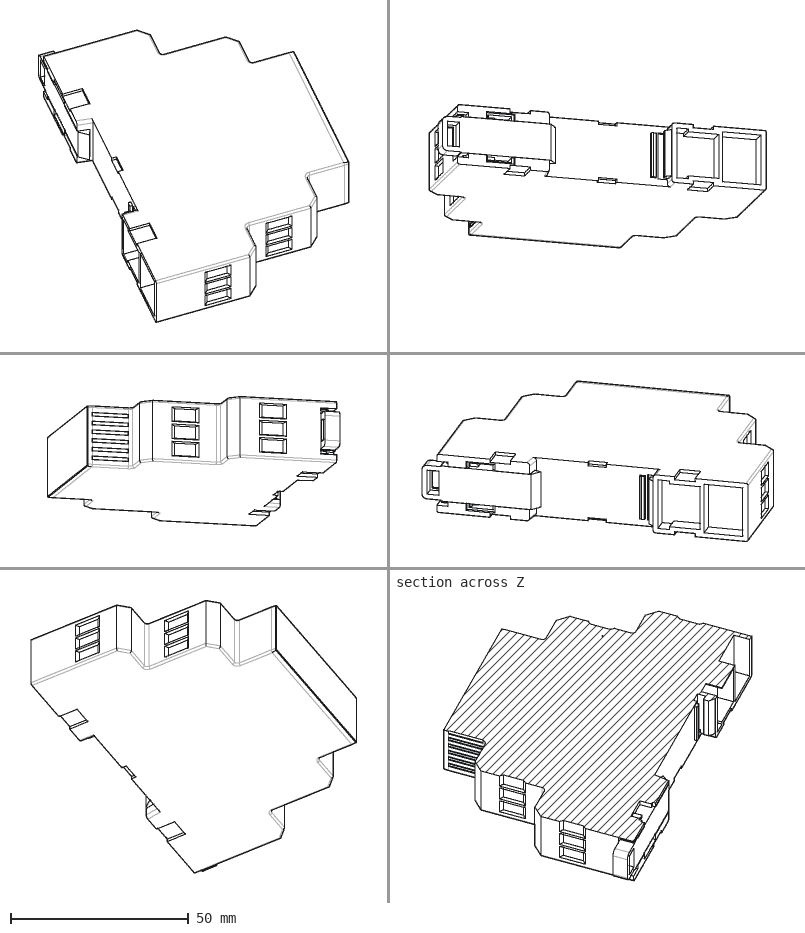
import cadquery as cq

THICKNESS = 17.5
HALF_Z = THICKNESS / 2
EPS = 1.0

HEIGHT = 66.5
BASE_HALF, MIDDLE_HALF, TOP_HALF = 45.25, 34.1, 22.4
LOWER_SHOULDER, UPPER_SHOULDER = 31.05, 53.55
SHOULDER_CHAMFER = 3.0
STEP_FILLET = 1.0
EDGE_FILLET = 0.6
CAP_HEIGHT = 1.5
CAP_TAPER = 0.1
CAP_CHAMFER = 0.2
CAP_BASE = HEIGHT - CAP_HEIGHT

GAP_DEPTH = 4.5
LEFT_FOOT_BOTTOM, LEFT_FOOT_TOP = -18.25, -17.5
RIGHT_FOOT = 17.55
FOOT_FILLET = 0.9

NOTCH_DEPTH = 0.95
NOTCH_TOP = 5.95
FOOT_NOTCH_X, FOOT_NOTCH_WIDTH = 26.85, 5.95
MIDDLE_NOTCH_X, MIDDLE_NOTCH_WIDTH = 0.1, 5.3

WINDOW_LENGTH_Y, WINDOW_FLOOR_Y = 7.8, 6.1
WINDOW_LENGTH_Z, WINDOW_FLOOR_Z = 4.2, 3.5
WINDOW_DEPTH = 0.8
WINDOW_PITCH = 4.95
LOWER_WINDOW_Y, UPPER_WINDOW_Y = 18.5, 41.0

GROOVE_COUNT = 6
GROOVE_PITCH = 2.5
GROOVE_WIDTH = 1.0
GROOVE_DEPTH = 0.3

POCKET_DEPTH = 4.8
POCKET_HALF_Z = 7.3
NARROW_HALF_Z = 6.45
INNER_POCKET_X = (19.0, 31.3)
INNER_POCKET_STEP_X = 22.4
OUTER_POCKET_X = (32.45, 43.65)

HOOK_HALF_Z = 6.75
HOOK_TIP_X = 16.0
HOOK_TOP_Y = 3.15
HOOK_BOTTOM_Y = 0.2
HOOK_TIP_BOTTOM_Y = 1.5
HOOK_NOSE_CHAMFER = 0.25
RELIEF_X, RELIEF_DEPTH = 14.85, 1.0
RIB_X = (12.7, 14.2)
RIB_HEIGHT = 0.85
RIB_FLAT_X = (13.25, 13.85)
RIB_LEFT_RISE, RIB_RIGHT_RISE = 0.2, 0.1

CLIP_BOTTOM = 0.15
CLIP_HALF_Z = 5.3
CLIP_NOSE_X = -17.85
HEAD_LEFT, HEAD_RIGHT = -49.65, -44.15
HEAD_HALF_Z = 5.05
HEAD_FILLET = 1.5
EYE_X, EYE_HALF_Z, EYE_DEPTH = (-48.1, -44.7), 3.6, 3.4
EYE_HOLE_X, EYE_HOLE_HALF_Z = (-47.65, -45.45), 3.05
EYE_HOLE_CHAMFER = 0.3
CLIP_HOOK_TIP = (-15.75, 2.75)
CLIP_HOOK_ROOT = (-17.6, 3.65)

ENTRY_RIM_X = -44.5
ENTRY_LOWER_X, ENTRY_LOWER_HALF_Z, ENTRY_LOWER_TOP = -42.0, 6.6, 2.4
ENTRY_UPPER_X, ENTRY_UPPER_HALF_Z, ENTRY_TOP = -42.85, 6.3, 4.6
SLOT_RIM_X, SLOT_RIM_HALF_Z, SLOT_RIM_DEPTH = (-36.75, -28.35), 7.35, 1.0
SLOT_X, SLOT_HALF_Z, SLOT_DEPTH = (-36.15, -29.1), 6.75, 4.5
LUG_END_X, LUG_HALF_Z = -33.8, 6.2
LUG_STEM_X = -35.6
LUG_BOTTOM = 2.0


def block(x0, x1, y0, y1, half_z):
    """Box between the given X and Y limits, symmetric about Z = 0."""
    return cq.Workplane("XY").box(x1 - x0, y1 - y0, 2 * half_z).translate(((x0 + x1) / 2, (y0 + y1) / 2, 0))


def prism(points, half_z):
    """Closed XY polygon extruded symmetrically about Z = 0."""
    return cq.Workplane("XY").polyline(points).close().extrude(half_z, both=True)


def outline_side(side):
    """Stepped outline from foot to cap on one side (-1 left, +1 right)."""
    return [
        (side * BASE_HALF, 0),
        (side * BASE_HALF, LOWER_SHOULDER - SHOULDER_CHAMFER),
        (side * (BASE_HALF - SHOULDER_CHAMFER), LOWER_SHOULDER),
        (side * MIDDLE_HALF, LOWER_SHOULDER),
        (side * MIDDLE_HALF, UPPER_SHOULDER - SHOULDER_CHAMFER),
        (side * (MIDDLE_HALF - SHOULDER_CHAMFER), UPPER_SHOULDER),
        (side * TOP_HALF, UPPER_SHOULDER),
        (side * TOP_HALF, CAP_BASE),
        (side * (TOP_HALF - CAP_TAPER), HEIGHT),
    ]


def cap_taper_cuts():
    """Thin wedges that taper the cap on both side faces."""
    wedge = (
        cq.Workplane("YZ")
        .polyline([(CAP_BASE, HALF_Z), (HEIGHT, HALF_Z - CAP_TAPER), (HEIGHT, HALF_Z)])
        .close()
        .extrude(TOP_HALF, both=True)
    )
    return wedge.union(wedge.mirror("XY"))


def housing_blank():
    """Stepped housing with rounded edges, tapered cap and the rail gap, without openings."""
    points = outline_side(-1) + outline_side(1)[::-1]
    blank = prism(points, HALF_Z)
    for half, shoulder in ((MIDDLE_HALF, LOWER_SHOULDER), (TOP_HALF, UPPER_SHOULDER)):
        for side in (-1, 1):
            corner = cq.selectors.NearestToPointSelector((side * half, shoulder, 0))
            blank = blank.edges("|Z").edges(corner).fillet(STEP_FILLET)
    rim_box = cq.selectors.BoxSelector(
        (-HEIGHT, EPS, -THICKNESS),
        (HEIGHT, HEIGHT - EPS, THICKNESS),
    )
    blank = blank.faces("<Z or >Z").edges().edges(rim_box).fillet(EDGE_FILLET)
    blank = blank.cut(cap_taper_cuts())
    blank = blank.faces(">Y").edges().chamfer(CAP_CHAMFER)
    gap = prism(
        [
            (LEFT_FOOT_BOTTOM, 0),
            (LEFT_FOOT_TOP, GAP_DEPTH),
            (RIGHT_FOOT, GAP_DEPTH),
            (RIGHT_FOOT, 0),
        ],
        THICKNESS,
    )
    blank = blank.cut(gap)
    middle_y = GAP_DEPTH / 2
    for x in ((LEFT_FOOT_BOTTOM + LEFT_FOOT_TOP) / 2, RIGHT_FOOT):
        for z in (-HALF_Z, HALF_Z):
            foot_edge = cq.selectors.NearestToPointSelector((x, middle_y, z))
            blank = blank.edges(foot_edge).fillet(FOOT_FILLET)
    return blank


def latch_notches():
    """Shallow rectangular notches along the rail-side rim of both side faces."""
    places = (
        (-FOOT_NOTCH_X, FOOT_NOTCH_WIDTH),
        (MIDDLE_NOTCH_X, MIDDLE_NOTCH_WIDTH),
        (FOOT_NOTCH_X, FOOT_NOTCH_WIDTH),
    )
    notches = cq.Workplane("XY")
    for x, width in places:
        for side in (-1, 1):
            notch = cq.Workplane("XY").box(width, 2 * NOTCH_TOP, 2 * NOTCH_DEPTH)
            notches = notches.add(notch.translate((x, 0, side * HALF_Z)))
    return notches.combine()


def entry_windows():
    """Tapered recesses, three in each stepped end wall on both sides."""
    windows = cq.Workplane("XY")
    for wall_x, y in ((BASE_HALF, LOWER_WINDOW_Y), (MIDDLE_HALF, UPPER_WINDOW_Y)):
        for row in (-1, 0, 1):
            window = (
                cq.Workplane("YZ", origin=(-wall_x, y, row * WINDOW_PITCH))
                .rect(WINDOW_LENGTH_Y, WINDOW_LENGTH_Z)
                .workplane(offset=WINDOW_DEPTH)
                .rect(WINDOW_FLOOR_Y, WINDOW_FLOOR_Z)
                .loft(ruled=True)
            )
            windows = windows.add(window).add(window.mirror("YZ"))
    return windows.combine()


def grip_grooves():
    """Grooves along Y in the left end wall of the top step."""
    start = UPPER_SHOULDER + STEP_FILLET
    grooves = cq.Workplane("XY")
    for index in range(GROOVE_COUNT):
        z = (index - (GROOVE_COUNT - 1) / 2) * GROOVE_PITCH
        groove = block(-TOP_HALF - EPS, -TOP_HALF + GROOVE_DEPTH, start, CAP_BASE, GROOVE_WIDTH / 2)
        grooves = grooves.add(groove.translate((0, 0, z)))
    return grooves.combine()


def right_foot_pockets():
    """Two hollows in the right foot; the inner one narrows at a step."""
    wide = block(INNER_POCKET_X[0], INNER_POCKET_STEP_X, -EPS, POCKET_DEPTH, POCKET_HALF_Z)
    narrow = block(*INNER_POCKET_X, -EPS, POCKET_DEPTH, NARROW_HALF_Z)
    outer = block(*OUTER_POCKET_X, -EPS, POCKET_DEPTH, POCKET_HALF_Z)
    return wide.union(narrow).union(outer)


def left_foot_openings():
    """Clip channel, stepped clip entry with a rim, and the stepped slot across the clip."""
    channel = block(-BASE_HALF - EPS, LEFT_FOOT_TOP, -EPS, CLIP_BOTTOM, CLIP_HALF_Z)
    entry_rim = block(-BASE_HALF - EPS, ENTRY_RIM_X, -EPS, ENTRY_TOP, ENTRY_LOWER_HALF_Z)
    entry_lower = block(-BASE_HALF - EPS, ENTRY_LOWER_X, -EPS, ENTRY_LOWER_TOP, ENTRY_LOWER_HALF_Z)
    entry_upper = block(-BASE_HALF - EPS, ENTRY_UPPER_X, -EPS, ENTRY_TOP, ENTRY_UPPER_HALF_Z)
    slot_rim = block(*SLOT_RIM_X, -EPS, SLOT_RIM_DEPTH, SLOT_RIM_HALF_Z)
    slot = block(*SLOT_X, -EPS, SLOT_DEPTH, SLOT_HALF_Z)
    return channel.union(entry_rim).union(entry_lower).union(entry_upper).union(slot_rim).union(slot)


def hook_relief():
    """Slot in the gap ceiling above the fixed hook."""
    return block(RELIEF_X, RIGHT_FOOT, GAP_DEPTH - EPS, GAP_DEPTH + RELIEF_DEPTH, HOOK_HALF_Z)


def fixed_hook():
    """Hook on the right foot that holds the rail edge."""
    root_x = RIGHT_FOOT + FOOT_FILLET
    points = [
        (root_x, HOOK_TOP_Y),
        (HOOK_TIP_X + HOOK_NOSE_CHAMFER, HOOK_TOP_Y),
        (HOOK_TIP_X, HOOK_TOP_Y - HOOK_NOSE_CHAMFER),
        (HOOK_TIP_X, HOOK_TIP_BOTTOM_Y),
        (RIGHT_FOOT, HOOK_BOTTOM_Y),
        (root_x, HOOK_BOTTOM_Y),
    ]
    return prism(points, HOOK_HALF_Z)


def bearing_rib():
    """Rib on the gap ceiling with a flat between two sloped flanks."""
    bottom = GAP_DEPTH - RIB_HEIGHT
    points = [
        (RIB_X[0], GAP_DEPTH + EPS),
        (RIB_X[0], bottom + RIB_LEFT_RISE),
        (RIB_FLAT_X[0], bottom),
        (RIB_FLAT_X[1], bottom),
        (RIB_X[1], bottom + RIB_RIGHT_RISE),
        (RIB_X[1], GAP_DEPTH + EPS),
    ]
    return prism(points, NARROW_HALF_Z)


def rail_clip():
    """Sliding clip: shank, pull head with an eye, rail hook and side lugs."""
    shank = block(HEAD_RIGHT, CLIP_NOSE_X, CLIP_BOTTOM, GAP_DEPTH, CLIP_HALF_Z)
    hook = prism(
        [
            (LEFT_FOOT_BOTTOM - FOOT_FILLET, CLIP_HOOK_ROOT[1]),
            CLIP_HOOK_ROOT,
            CLIP_HOOK_TIP,
            (CLIP_NOSE_X, CLIP_BOTTOM),
            (LEFT_FOOT_BOTTOM - FOOT_FILLET, CLIP_BOTTOM),
        ],
        CLIP_HALF_Z,
    )
    head = block(HEAD_LEFT, HEAD_RIGHT, CLIP_BOTTOM, GAP_DEPTH, HEAD_HALF_Z)
    head = head.faces("<X").edges("|Y").fillet(HEAD_FILLET)
    eye = block(*EYE_X, CLIP_BOTTOM, CLIP_BOTTOM + EYE_DEPTH, EYE_HALF_Z)
    eye_hole = block(*EYE_HOLE_X, 0, GAP_DEPTH + EPS, EYE_HOLE_HALF_Z)
    eye_hole = eye_hole.faces("<X").edges("|Y").chamfer(EYE_HOLE_CHAMFER)
    lug = block(SLOT_X[0], LUG_END_X, LUG_BOTTOM, SLOT_DEPTH, LUG_HALF_Z)
    lug_stem = block(SLOT_X[0], LUG_STEM_X, LUG_BOTTOM, SLOT_DEPTH, SLOT_HALF_Z)
    clip = shank.union(hook).union(head).union(lug).union(lug_stem)
    return clip.cut(eye).cut(eye_hole)


housing = housing_blank()
for opening in (
    latch_notches(),
    entry_windows(),
    grip_grooves(),
    right_foot_pockets(),
    left_foot_openings(),
    hook_relief(),
):
    housing = housing.cut(opening)

result = housing.union(fixed_hook()).union(bearing_rib()).union(rail_clip())